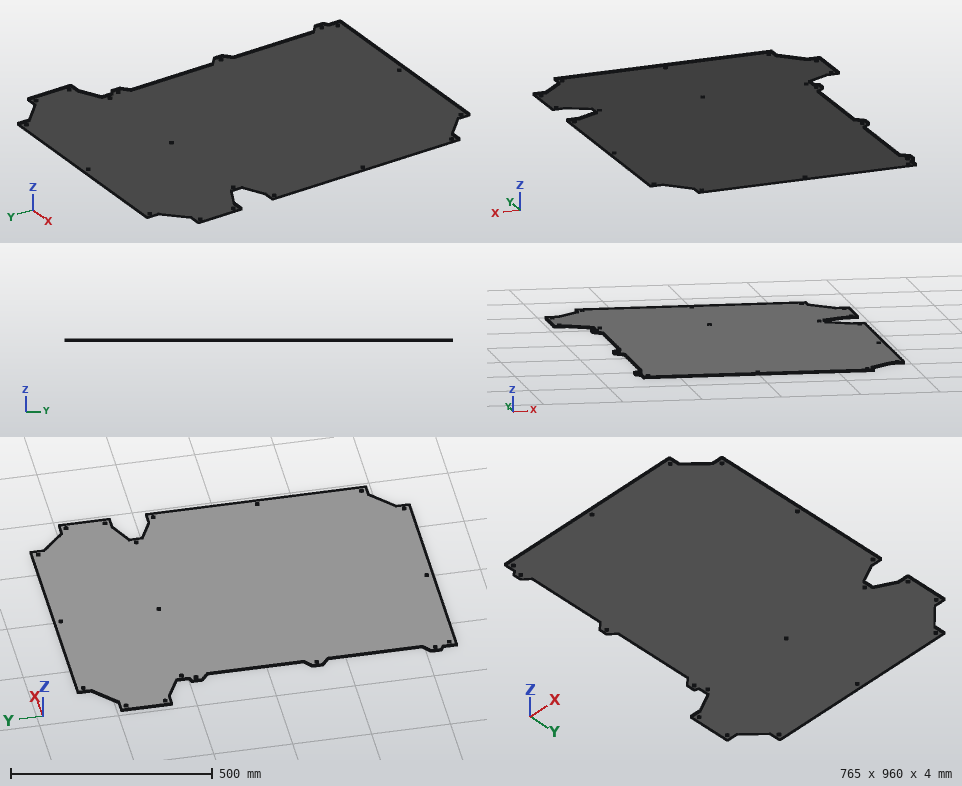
import cadquery as cq

width = 765.0
length = 960.0
thickness = 4.0
hole_diameter = 6.6

half_width = width / 2
half_length = length / 2

neck_x = 290.0
shoulder_x = 349.0
left_edge_x = -280.0
tab_x = -302.0

neck_y = 446.0
shoulder_y = 389.0
wing_bottom_y = 261.0
waist_top_y = 230.0
waist_bottom_y = 198.0
right_body_top_y = 168.0

upper_tab = (194.0, 168.0)
middle_tab = (-112.0, -137.0)
lower_tab = (-413.0, -438.0)
tab_slope_height = 18.0
lower_tab_base_y = -445.0

hole_inset = 14.0
neck_hole_inset = 13.0
end_hole_inset = 16.0
tab_hole_inset = 12.0
waist_hole_y = 215.0
neck_hole_x = neck_x - neck_hole_inset
end_hole_y = half_length - end_hole_inset
side_hole_x = half_width - hole_inset
corner_side_hole_y = shoulder_y - hole_inset
tab_hole_x = tab_x + tab_hole_inset


def corner_cut(x_sign, y_sign):
    """Points of a corner cut, from the end strip out to the side edge."""
    return [
        (x_sign * neck_x, y_sign * half_length),
        (x_sign * neck_x, y_sign * neck_y),
        (x_sign * shoulder_x, y_sign * shoulder_y),
        (x_sign * half_width, y_sign * shoulder_y),
    ]


def wing_underside(x_sign):
    """Points below an upper wing, from the side edge in to the waist."""
    return [
        (x_sign * half_width, wing_bottom_y),
        (x_sign * shoulder_x, wing_bottom_y),
        (x_sign * neck_x, waist_top_y),
        (x_sign * neck_x, waist_bottom_y),
    ]


def tab_face(tab):
    """Outer face of a left tab, from top to bottom."""
    top, bottom = tab
    return [(tab_x, top), (tab_x, bottom)]


def slope_above(tab):
    return (left_edge_x, tab[0] + tab_slope_height)


def slope_below(tab):
    return (left_edge_x, tab[1] - tab_slope_height)


def tab_centre(tab):
    return (tab[0] + tab[1]) / 2


left_side = (
    corner_cut(-1, 1)
    + wing_underside(-1)
    + tab_face(upper_tab)
    + [slope_below(upper_tab), slope_above(middle_tab)]
    + tab_face(middle_tab)
    + [slope_below(middle_tab), slope_above(lower_tab)]
    + tab_face(lower_tab)
    + [(-neck_x, lower_tab_base_y), (-neck_x, -half_length)]
)

right_side = (
    corner_cut(1, 1)
    + wing_underside(1)
    + [(shoulder_x, right_body_top_y), (half_width, right_body_top_y)]
    + corner_cut(1, -1)[::-1]
)

plate = cq.Workplane("XY").polyline(left_side + right_side[::-1]).close().extrude(thickness)

cross_rows = [
    (x, y)
    for x in (-neck_hole_x, 0, neck_hole_x)
    for y in (end_hole_y, waist_hole_y, -end_hole_y)
]
wing_holes = [
    (x, y)
    for x in (-side_hole_x, side_hole_x)
    for y in (corner_side_hole_y, wing_bottom_y + hole_inset)
]
right_top_hole_y = right_body_top_y - hole_inset
right_holes_y = (
    right_top_hole_y,
    (right_top_hole_y - corner_side_hole_y) / 2,
    -corner_side_hole_y,
)
right_holes = [(side_hole_x, y) for y in right_holes_y]
tab_holes = [(tab_hole_x, tab_centre(tab)) for tab in (upper_tab, middle_tab, lower_tab)]

result = (
    plate.faces(">Z")
    .workplane(origin=(0, 0, thickness))
    .pushPoints(cross_rows + wing_holes + right_holes + tab_holes)
    .hole(hole_diameter)
)